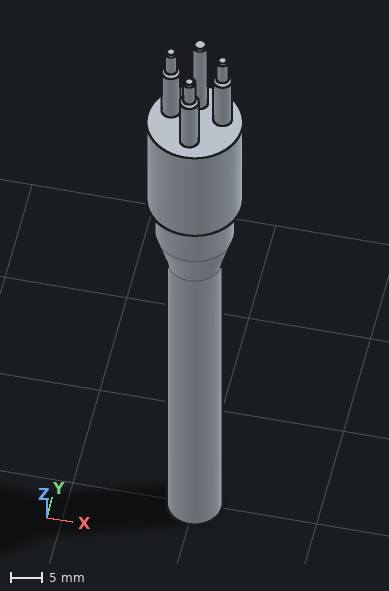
import cadquery as cq

total_length = 108.5

cable_diameter = 9.0
neck_diameter = 13.0
body_diameter = 15.5
cone_bottom_z = 60.0
neck_bottom_z = 67.2
body_bottom_z = 75.0
body_top_z = 94.1

pin_offset = 4.0
pin_end_chamfer = 0.3

pin_root_diameter = 3.0
pin_tip_radius = 1.0
pin_shoulder_z = 103.5
side_pin_x = 4.2
side_pin_y = 1.5
contact_positions = [
    (-side_pin_x, side_pin_y),
    (side_pin_x, side_pin_y),
    (0, -pin_offset),
]

guide_pin_diameter = 2.5


def revolved(profile):
    """Solid of revolution about Z from (radius, z) points."""
    return cq.Workplane("XZ").polyline(profile).close().revolve(360, (0, 0, 0), (0, 1, 0))


def make_housing():
    """Cable, conical strain relief, neck and body in one profile."""
    cable_radius = cable_diameter / 2
    neck_radius = neck_diameter / 2
    body_radius = body_diameter / 2
    return revolved([
        (0, 0),
        (cable_radius, 0),
        (cable_radius, cone_bottom_z),
        (neck_radius, neck_bottom_z),
        (neck_radius, body_bottom_z),
        (body_radius, body_bottom_z),
        (body_radius, body_top_z),
        (0, body_top_z),
    ])


def make_contact():
    """Stepped contact pin with a chamfered end, on the Z axis, standing on the body top."""
    root_radius = pin_root_diameter / 2
    tip_bottom_z = pin_shoulder_z + root_radius - pin_tip_radius
    return revolved([
        (0, body_top_z),
        (root_radius, body_top_z),
        (root_radius, pin_shoulder_z),
        (pin_tip_radius, tip_bottom_z),
        (pin_tip_radius, total_length - pin_end_chamfer),
        (pin_tip_radius - pin_end_chamfer, total_length),
        (0, total_length),
    ])


def make_guide_pin():
    """Straight round pin with a chamfered end, standing on the body top."""
    return (
        cq.Workplane("XY", origin=(0, pin_offset, body_top_z))
        .circle(guide_pin_diameter / 2)
        .extrude(total_length - body_top_z)
        .faces(">Z")
        .chamfer(pin_end_chamfer)
    )


result = make_housing().union(make_guide_pin())
for x, y in contact_positions:
    result = result.union(make_contact().translate((x, y, 0)))